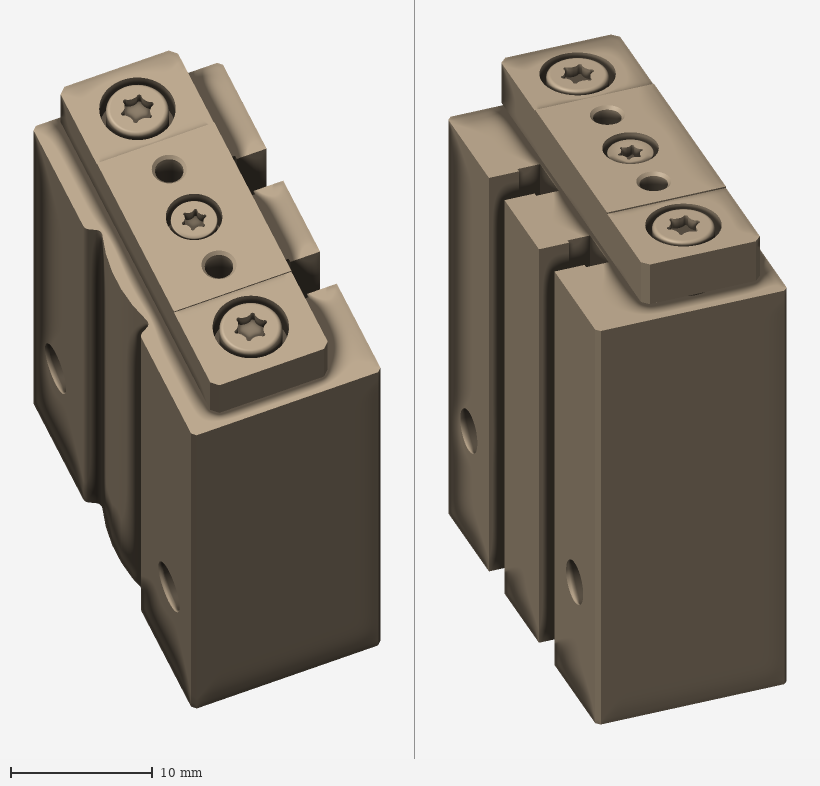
import cadquery as cq
import math


HOUSING_WIDTH = 29.0
HOUSING_DEPTH = 14.5
HOUSING_HEIGHT = 33.5
HOUSING_EDGE_CHAMFER = 0.3
FRONT_Y = -6.27
BACK_Y = FRONT_Y + HOUSING_DEPTH
HOUSING_CENTRE_Y = (FRONT_Y + BACK_Y) / 2

GROOVE_HALF_WIDTH = 4.98
GROOVE_CUT_DEPTH = 1.52
GROOVE_WALL_ANGLE = 60
GROOVE_FILLET = 0.5
BULGE_RADIUS = 13.0
BULGE_SETBACK = 0.3

SLOT_OFFSET_X = 4.83
SLOT_MOUTH_WIDTH = 3.0
SLOT_MOUTH_DEPTH = 2.28
SLOT_INNER_WIDTH = 3.6
SLOT_DEPTH = 4.0

SIDE_AXIS_X = 10.22
SIDE_ROD_DIAMETER = 5.0
SIDE_ROD_CHAMFER_HEIGHT = 0.3
SIDE_ROD_CHAMFER_WIDTH = 0.15
CENTRE_ROD_DIAMETER = 3.0
CROSS_HOLE_DIAMETER = 3.3
CROSS_HOLE_RIM_DIAMETER = 3.8
CROSS_HOLE_Z = 9.5
BOTTOM_HOLE_DIAMETER = 3.0
BOTTOM_HOLE_SETBACK = 3.15

TOTAL_HEIGHT = 38.0
PLATE_GAP = 1.0
PLATE_WIDTH = 27.95
PLATE_DEPTH = 9.0
PLATE_EDGE_CHAMFER = 0.5
PAD_WIDTH = 13.9
PAD_HEIGHT = 0.1
PLATE_BOTTOM = HOUSING_HEIGHT + PLATE_GAP
SHOULDER_Z = TOTAL_HEIGHT - PAD_HEIGHT

SIDE_COUNTERBORE_DIAMETER = 5.4
SIDE_HEAD_DIAMETER = 4.45
SIDE_HEAD_FILLET = 0.3
SIDE_SOCKET_DIAMETER = 2.47
SIDE_SOCKET_VALLEY_DIAMETER = 1.82
CENTRE_COUNTERBORE_DIAMETER = 4.0
CENTRE_HEAD_DIAMETER = 3.3
CENTRE_HEAD_FILLET = 0.08
CENTRE_HEAD_RECESS = 0.35
CENTRE_SOCKET_DIAMETER = 1.85
CENTRE_SOCKET_VALLEY_DIAMETER = 1.33
COUNTERBORE_DEPTH = 2.5
SOCKET_DEPTH = 0.85
SOCKET_LOBES = 6
LOBE_HALF_ANGLE = 9

MOUNT_HOLE_OFFSET_X = 4.5
MOUNT_HOLE_DIAMETER = 2.0
MOUNT_HOLE_RIM_DIAMETER = 2.47


def cylinder(diameter, x, bottom, top):
    """Upright cylinder on the rod plane."""
    return cq.Workplane("XY", origin=(x, 0, bottom)).circle(diameter / 2).extrude(top - bottom)


def box_between(x_centre, width, y_min, y_max, z_min, z_max):
    """Box centred on x_centre, given by its limits in Y and Z."""
    size = (width, y_max - y_min, z_max - z_min)
    return cq.Workplane("XY", origin=(x_centre, y_min, z_min)).box(*size, centered=(True, False, False))


def front_groove():
    """Trapezoid groove with the bulge left standing in its middle."""
    floor_half_width = GROOVE_HALF_WIDTH - GROOVE_CUT_DEPTH / math.tan(math.radians(GROOVE_WALL_ANGLE))
    floor_y = FRONT_Y + GROOVE_CUT_DEPTH
    trapezoid = cq.Workplane("XY").polyline([
        (-GROOVE_HALF_WIDTH, FRONT_Y),
        (GROOVE_HALF_WIDTH, FRONT_Y),
        (floor_half_width, floor_y),
        (-floor_half_width, floor_y),
    ]).close().extrude(HOUSING_HEIGHT)
    bulge_centre_y = FRONT_Y + BULGE_SETBACK + BULGE_RADIUS
    bulge = cq.Workplane("XY").center(0, bulge_centre_y).circle(BULGE_RADIUS).extrude(HOUSING_HEIGHT)
    return trapezoid.cut(bulge)


def groove_edges():
    """Selector for the vertical edges along both groove walls."""
    reach = GROOVE_HALF_WIDTH + 0.38
    return cq.selectors.BoxSelector(
        (-reach, FRONT_Y - 0.38, 0),
        (reach, FRONT_Y + GROOVE_CUT_DEPTH, HOUSING_HEIGHT),
    )


def sensor_slot(x):
    """Stepped slot, wider behind its mouth, running the full housing height."""
    step_y = BACK_Y - SLOT_MOUTH_DEPTH
    mouth = box_between(x, SLOT_MOUTH_WIDTH, step_y, BACK_Y, 0, HOUSING_HEIGHT)
    inner = box_between(x, SLOT_INNER_WIDTH, BACK_Y - SLOT_DEPTH, step_y, 0, HOUSING_HEIGHT)
    return mouth.union(inner)


def cross_hole(x):
    """Hole through the housing in Y with a chamfered front rim."""
    radius = CROSS_HOLE_DIAMETER / 2
    rim_radius = CROSS_HOLE_RIM_DIAMETER / 2
    half_section = cq.Workplane("XY", origin=(x, FRONT_Y, CROSS_HOLE_Z)).polyline([
        (0, 0),
        (rim_radius, 0),
        (radius, rim_radius - radius),
        (radius, HOUSING_DEPTH),
        (0, HOUSING_DEPTH),
    ]).close()
    return half_section.revolve(360, (0, 0, 0), (0, 1, 0))


def bottom_hole(x):
    """Hole from the housing bottom up into the cross hole."""
    hole = cq.Workplane("XY").center(x, FRONT_Y + BOTTOM_HOLE_SETBACK).circle(BOTTOM_HOLE_DIAMETER / 2)
    return hole.extrude(CROSS_HOLE_Z)


def make_housing():
    housing = cq.Workplane("XY").center(0, HOUSING_CENTRE_Y).rect(HOUSING_WIDTH, HOUSING_DEPTH)
    housing = housing.extrude(HOUSING_HEIGHT).edges("|Z").chamfer(HOUSING_EDGE_CHAMFER)
    housing = housing.cut(front_groove())
    housing = housing.edges("|Z").edges(groove_edges()).fillet(GROOVE_FILLET)
    for side in (-1, 1):
        axis_x = side * SIDE_AXIS_X
        housing = housing.cut(sensor_slot(side * SLOT_OFFSET_X))
        housing = housing.cut(cross_hole(axis_x))
        housing = housing.cut(bottom_hole(axis_x))
    return housing


def star_socket(x, top, tip_diameter, valley_diameter):
    """Six-lobed screw socket with rounded tips and valleys."""
    tip_radius = tip_diameter / 2
    valley_radius = valley_diameter / 2
    flank_radius = (tip_radius + valley_radius) / 2
    pitch = 360 / SOCKET_LOBES

    def point(radius, degrees):
        angle = math.radians(degrees)
        return (radius * math.cos(angle), radius * math.sin(angle))

    first_tip = 90
    outline = cq.Workplane("XY", origin=(x, 0, top)).moveTo(*point(flank_radius, first_tip - LOBE_HALF_ANGLE))
    for lobe in range(SOCKET_LOBES):
        tip = first_tip + lobe * pitch
        outline = outline.threePointArc(point(tip_radius, tip), point(flank_radius, tip + LOBE_HALF_ANGLE))
        outline = outline.threePointArc(
            point(valley_radius, tip + pitch / 2),
            point(flank_radius, tip + pitch - LOBE_HALF_ANGLE),
        )
    return outline.close().extrude(-SOCKET_DEPTH)


def screw_head(x, bottom, top, diameter, edge_fillet, socket_diameter, valley_diameter):
    """Round-edged screw head with a star socket."""
    head = cylinder(diameter, x, bottom, top).faces(">Z").edges().fillet(edge_fillet)
    return head.cut(star_socket(x, top, socket_diameter, valley_diameter))


def mount_hole(x):
    """Hole through the yoke plate with a chamfered rim."""
    chamfer = (MOUNT_HOLE_RIM_DIAMETER - MOUNT_HOLE_DIAMETER) / 2
    rim = cq.Workplane("XY", origin=(x, 0, TOTAL_HEIGHT)).circle(MOUNT_HOLE_RIM_DIAMETER / 2)
    rim = rim.workplane(offset=-chamfer).circle(MOUNT_HOLE_DIAMETER / 2).loft()
    return cylinder(MOUNT_HOLE_DIAMETER, x, PLATE_BOTTOM, TOTAL_HEIGHT).union(rim)


def make_yoke():
    """Yoke plate in one piece with its rods and screws."""
    yoke = cq.Workplane("XY", origin=(0, 0, PLATE_BOTTOM)).rect(PLATE_WIDTH, PLATE_DEPTH)
    yoke = yoke.extrude(SHOULDER_Z - PLATE_BOTTOM).edges("|Z").chamfer(PLATE_EDGE_CHAMFER)
    yoke = yoke.union(box_between(0, PAD_WIDTH, -PLATE_DEPTH / 2, PLATE_DEPTH / 2, SHOULDER_Z, TOTAL_HEIGHT))

    floor_z = TOTAL_HEIGHT - COUNTERBORE_DEPTH
    yoke = yoke.union(cylinder(CENTRE_ROD_DIAMETER, 0, HOUSING_HEIGHT, PLATE_BOTTOM))
    yoke = yoke.cut(cylinder(CENTRE_COUNTERBORE_DIAMETER, 0, floor_z, TOTAL_HEIGHT))
    yoke = yoke.union(screw_head(
        0, floor_z, TOTAL_HEIGHT - CENTRE_HEAD_RECESS, CENTRE_HEAD_DIAMETER, CENTRE_HEAD_FILLET,
        CENTRE_SOCKET_DIAMETER, CENTRE_SOCKET_VALLEY_DIAMETER,
    ))

    for side in (-1, 1):
        axis_x = side * SIDE_AXIS_X
        rod = cylinder(SIDE_ROD_DIAMETER, axis_x, HOUSING_HEIGHT, PLATE_BOTTOM)
        rod = rod.faces(">Z").edges().chamfer(SIDE_ROD_CHAMFER_HEIGHT, SIDE_ROD_CHAMFER_WIDTH)
        yoke = yoke.union(rod)
        yoke = yoke.cut(cylinder(SIDE_COUNTERBORE_DIAMETER, axis_x, floor_z, SHOULDER_Z))
        yoke = yoke.union(screw_head(
            axis_x, floor_z, SHOULDER_Z, SIDE_HEAD_DIAMETER, SIDE_HEAD_FILLET,
            SIDE_SOCKET_DIAMETER, SIDE_SOCKET_VALLEY_DIAMETER,
        ))
        yoke = yoke.cut(mount_hole(side * MOUNT_HOLE_OFFSET_X))
    return yoke


housing = make_housing()
yoke = make_yoke()

result = cq.Compound.makeCompound([housing.solids().val(), yoke.solids().val()])